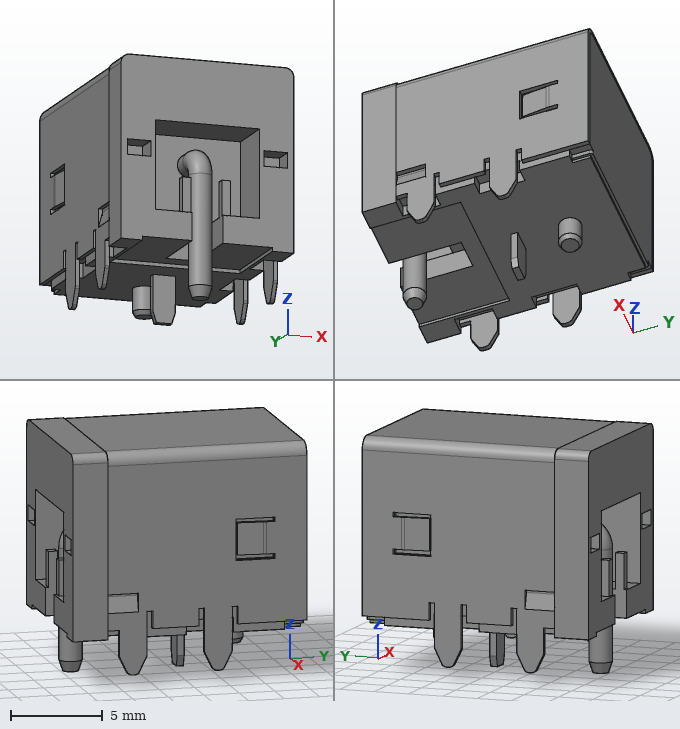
import cadquery as cq
import math


body_width = 10.0
body_depth = 13.2
body_height = 10.4
front_depth = 1.98
half_width = body_width / 2

shell_thickness = 0.25
shell_bottom = 0.5
shell_radius = 0.7
core_half_width = half_width - shell_thickness

leg_width = 1.56
leg_front_y = 2.63
leg_rear_y = 7.43
leg_length = 2.03
leg_shoulder = 0.99
leg_tip_width = 0.53
leg_round = 0.3
relief_width = 0.32
relief_top = 1.48

latch_front_y = 9.2
latch_rear_y = 11.4
latch_bottom = 4.04
latch_top = 6.35
tongue_front_y = 9.32
tongue_bend_y = 10.9
tongue_bend_radius = 1.72
tongue_bottom = 4.32
tongue_top = 6.11
tongue_bend_degrees = 5.5
latch_pocket_depth = 0.2

snap_rear_y = 3.7
snap_bottom = 1.48
snap_top = 2.36
notch_top = 2.52

front_radius = 0.5
window_width = 6.02
window_bottom = 1.8
window_top = 6.82
window_depth = 3.06
side_pocket_x = 3.96
side_pocket_width = 1.35
side_pocket_height = 0.87
side_pocket_z = 5.19
side_pocket_depth = 1.32

slot_width = 1.8
slot_depth = 4.22
post_size = 0.5
post_setback = 0.16
post_top = 3.8
recess_width = 7.52
recess_height = 0.21
recess_depth = 5.28

notch_depth = 0.79
leg_notch_top = 0.82
rear_notch_start = 6.47
rear_notch_end = 9.11

rear_step_y = 12.0
lip_half_width = 4.35
lip_bottom = 0.2
lip_radius = 0.17
foot_half_width = 4.22
foot_end_y = 13.04

peg_diameter = 1.3
peg_y = 10.24
peg_shoulder = 1.31
peg_length = 1.58
peg_tip_diameter = 0.98
blade_width = 1.3
blade_tip_width = 0.9
blade_thickness = 0.4
blade_y = 7.02
blade_shoulder = 2.07

pin_diameter = 1.3
pin_y = 1.17
pin_axis_z = 5.2
pin_bend_diameter = 2.0
pin_embed = 1.32
pin_shoulder = 2.07
pin_length = 2.69
pin_tip_diameter = 0.87
pin_end_y = window_depth + pin_embed


def block(x_range, y_range, z_range):
    """Box given by its lower and upper limits along each axis."""
    sizes = [high - low for low, high in (x_range, y_range, z_range)]
    corner = (x_range[0], y_range[0], z_range[0])
    return cq.Workplane("XY").box(*sizes, centered=False).translate(corner)


def centred_block(width, y_range, z_range):
    """Box that is symmetric about the middle plane."""
    return block((-width / 2, width / 2), y_range, z_range)


def both_sides(left):
    """The given shape on the -X side together with its mirror image."""
    return left.union(left.mirror("YZ"))


def side_extrusion(points, x_start, depth):
    """Outline of (y, z) points extruded towards +X from x_start."""
    return cq.Workplane("YZ", origin=(x_start, 0, 0)).polyline(points).close().extrude(depth)


def stepped_peg(diameter, tip_diameter, shoulder, length, y, top):
    """Round peg that hangs down from z = top and ends in a short cone."""
    outline = [
        (0, top),
        (diameter / 2, top),
        (diameter / 2, -shoulder),
        (tip_diameter / 2, -length),
        (0, -length),
    ]
    peg = cq.Workplane("XZ").polyline(outline).close().revolve(360, (0, 0), (0, 1))
    return peg.translate((0, y, 0))



def make_pin():
    bend_radius = pin_bend_diameter / 2
    bend_bottom = pin_axis_z - bend_radius
    bend_end_y = pin_y + bend_radius
    tail = stepped_peg(pin_diameter, pin_tip_diameter, pin_shoulder, pin_length, pin_y, bend_bottom)
    bend = (
        cq.Workplane("XY", origin=(0, pin_y, bend_bottom))
        .circle(pin_diameter / 2)
        .revolve(90, (0, bend_radius), (-1, bend_radius))
    )
    nose = (
        cq.Workplane("XZ", origin=(0, bend_end_y, pin_axis_z))
        .circle(pin_diameter / 2)
        .extrude(bend_end_y - pin_end_y)
    )
    return tail.union(bend).union(nose)



def arch(half, top, radius, bottom):
    """Block behind the front block with its two upper long edges rounded."""
    body = centred_block(2 * half, (front_depth, body_depth), (bottom, top))
    return body.edges("|Y and >Z").fillet(radius)


def make_leg(front_y):
    """Tapered solder leg in the plane of the -X side wall."""
    middle = front_y + leg_width / 2
    outline = [
        (front_y, relief_top),
        (front_y, -leg_shoulder),
        (middle - leg_tip_width / 2, -leg_length),
        (middle + leg_tip_width / 2, -leg_length),
        (front_y + leg_width, -leg_shoulder),
        (front_y + leg_width, relief_top),
    ]
    leg = side_extrusion(outline, -half_width, shell_thickness)
    return leg.edges("|X").edges("not >Z").fillet(leg_round)


def leg_reliefs():
    """Slits in front of the rear leg and behind both legs."""
    starts = [leg_rear_y - relief_width, leg_rear_y + leg_width, leg_front_y + leg_width]
    slits = cq.Workplane("XY")
    for start in starts:
        slits = slits.union(
            block((-half_width, -core_half_width), (start, start + relief_width), (shell_bottom, relief_top))
        )
    return slits


def latch_window(depth):
    """Rectangle of the spring latch, cut into the -X side from its outer face."""
    return block(
        (-half_width, -half_width + depth), (latch_front_y, latch_rear_y), (latch_bottom, latch_top)
    )


def latch_tongue():
    """Tongue hinged at the rear of its window, with its front end bent inwards."""
    outer_radius = tongue_bend_radius
    inner_radius = tongue_bend_radius - shell_thickness
    bend_angle = math.radians(tongue_bend_degrees)
    bend_run = tongue_bend_y - outer_radius * math.sin(bend_angle) - tongue_front_y
    flat_length = bend_run / math.cos(bend_angle)

    def bend_point(radius, angle, advance=0.0):
        """Point at an angle round the bend, moved on along the tangent there."""
        x = -half_width + outer_radius - radius * math.cos(angle) + advance * math.sin(angle)
        y = tongue_bend_y - radius * math.sin(angle) - advance * math.cos(angle)
        return x, y

    sheet = (
        cq.Workplane("XY", origin=(0, 0, tongue_bottom))
        .moveTo(-half_width, latch_rear_y)
        .lineTo(*bend_point(outer_radius, 0))
        .threePointArc(bend_point(outer_radius, bend_angle / 2), bend_point(outer_radius, bend_angle))
        .lineTo(*bend_point(outer_radius, bend_angle, flat_length))
        .lineTo(*bend_point(inner_radius, bend_angle, flat_length))
        .lineTo(*bend_point(inner_radius, bend_angle))
        .threePointArc(bend_point(inner_radius, bend_angle / 2), bend_point(inner_radius, 0))
        .lineTo(-core_half_width, latch_rear_y)
        .close()
    )
    return sheet.extrude(tongue_top - tongue_bottom)


def make_shell():
    inner_top = body_height - shell_thickness
    shell = arch(half_width, body_height, shell_radius, shell_bottom)
    shell = shell.cut(arch(core_half_width, inner_top, shell_radius - shell_thickness, shell_bottom))
    snap_notch = block(
        (-half_width, -core_half_width), (front_depth, snap_rear_y), (snap_bottom, notch_top)
    )
    legs = make_leg(leg_front_y).union(make_leg(leg_rear_y))
    shell = shell.cut(both_sides(leg_reliefs()))
    shell = shell.cut(both_sides(snap_notch))
    shell = shell.cut(both_sides(latch_window(shell_thickness)))
    return shell.union(both_sides(latch_tongue())).union(both_sides(legs))



def front_block():
    front = centred_block(body_width, (0, front_depth), (0, body_height))
    return front.edges("|Y and >Z").fillet(front_radius)


def rear_foot():
    """Narrow lip with rounded corners and the foot below it, at the rear lower edge."""
    lip = centred_block(2 * lip_half_width, (rear_step_y, body_depth), (lip_bottom, shell_bottom))
    lip = lip.edges("|Z and >Y").fillet(lip_radius)
    foot = centred_block(2 * foot_half_width, (rear_step_y, foot_end_y), (0, shell_bottom))
    return lip.union(foot)


def housing_core():
    """Part of the housing that fills the shell."""
    core = arch(core_half_width, body_height - shell_thickness, shell_radius - shell_thickness, shell_bottom)
    base = centred_block(2 * core_half_width, (front_depth, rear_step_y), (0, shell_bottom))
    return core.union(base).union(rear_foot())


def leg_notches():
    """Cut-outs in the lower edge of the -X side, inside the two legs."""
    x_range = (-core_half_width, -core_half_width + notch_depth)
    z_range = (0, leg_notch_top)
    rear = block(x_range, (rear_notch_start, rear_notch_end), z_range)
    front = block(x_range, (front_depth, leg_front_y + leg_width), z_range)
    return rear.union(front)


def snap_ramp():
    """Wedge on the -X side that rises to the outer face of the shell at its lower end."""
    outline = [
        (-core_half_width, snap_top),
        (-core_half_width, snap_bottom),
        (-half_width, snap_bottom),
    ]
    wedge = cq.Workplane("XZ", origin=(0, snap_rear_y, 0)).polyline(outline).close()
    return wedge.extrude(snap_rear_y - front_depth)


def side_pocket():
    """Blind rectangular pocket in the front face, left of the window."""
    half = side_pocket_width / 2
    rise = side_pocket_height / 2
    return block(
        (-side_pocket_x - half, -side_pocket_x + half),
        (0, side_pocket_depth),
        (side_pocket_z - rise, side_pocket_z + rise),
    )


def guide_post():
    """Square post on the window floor, flush with the left side of the slot."""
    return block(
        (-slot_width / 2 - post_size, -slot_width / 2),
        (post_setback, post_setback + post_size),
        (window_bottom, post_top),
    )


def contact_blade():
    """Flat contact with a tapered end under the housing."""
    outline = [
        (-blade_width / 2, 0),
        (-blade_width / 2, -blade_shoulder),
        (-blade_tip_width / 2, -pin_length),
        (blade_tip_width / 2, -pin_length),
        (blade_width / 2, -blade_shoulder),
        (blade_width / 2, 0),
    ]
    blade = cq.Workplane("XZ", origin=(0, blade_y, 0)).polyline(outline).close()
    return blade.extrude(-blade_thickness)


def make_housing(pin):
    housing = front_block().union(housing_core())
    window = centred_block(window_width, (0, window_depth), (window_bottom, window_top))
    slot = centred_block(slot_width, (0, slot_depth), (0, window_bottom))
    recess = centred_block(recess_width, (0, recess_depth), (0, recess_height))
    latch_pocket = latch_window(shell_thickness + latch_pocket_depth)
    housing = housing.cut(window).cut(slot).cut(recess)
    for left_cut in (side_pocket(), leg_notches(), latch_pocket):
        housing = housing.cut(both_sides(left_cut))
    for left_boss in (snap_ramp(), guide_post()):
        housing = housing.union(both_sides(left_boss))
    peg = stepped_peg(peg_diameter, peg_tip_diameter, peg_shoulder, peg_length, peg_y, 0)
    housing = housing.union(peg).union(contact_blade())
    return housing.cut(pin)


pin = make_pin()
shell = make_shell()
housing = make_housing(pin)
result = cq.Compound.makeCompound([*housing.solids().vals(), *shell.solids().vals(), *pin.solids().vals()])